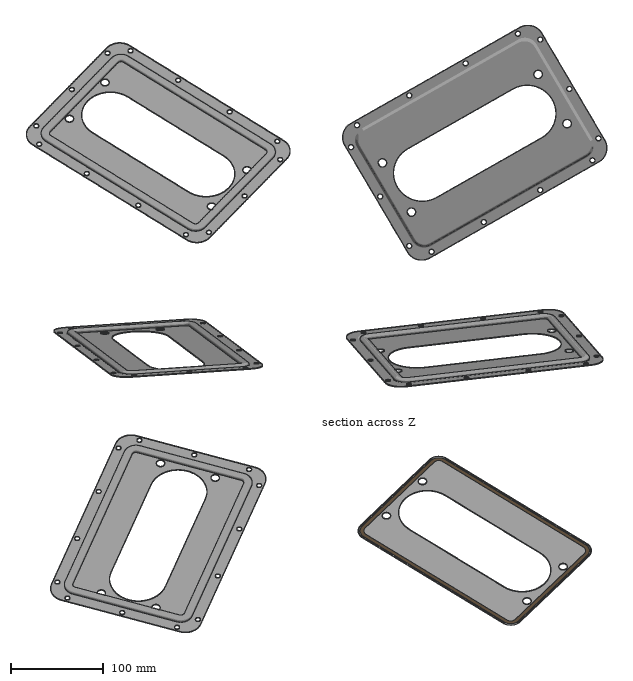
import cadquery as cq
import math

length = 245.0
width = 170.0
corner_radius = 17.5
round_center_inset = 25.7

sheet = 0.93
flange_top = 4.0
flange_bottom = flange_top - sheet
wall_angle = 45.0
outer_bend = 2.0
inner_bend = outer_bend - sheet

lower_wall_inset = 10.8
upper_wall_inset = lower_wall_inset + sheet * math.tan(math.radians(wall_angle / 2))

window_length = 192.0
window_width = 61.7

floor_hole_diameter = 9.0
floor_hole_x = 96.8
floor_hole_y = 31.0

rim_hole_diameter = 5.5
rim_hole_inset = 5.0
rim_hole_x = length / 2 - rim_hole_inset
rim_hole_y = width / 2 - rim_hole_inset
long_side_hole_x = (35.0, 100.0)
short_side_hole_y = 62.5

ring_top = 6.0
ring_width = 9.0
ring_inset = 12.5
oval_end_radius = 2.0


def rounded_block(inset, bottom, height, taper=0.0):
    """Block set in from the plate edge, with round corners; taper shrinks it along its height."""
    outline = cq.Sketch().rect(length - 2 * inset, width - 2 * inset)
    outline = outline.vertices().fillet(round_center_inset - inset)
    return cq.Workplane("XY").workplane(offset=bottom).placeSketch(outline).extrude(height, taper=taper)


def round_wall_edge(body, z, radius):
    """Round the edge loop at height z where the wall meets the flange."""
    half_x = length / 2 - lower_wall_inset / 2
    half_y = width / 2 - lower_wall_inset / 2
    low = (-half_x, -half_y, z - sheet / 2)
    high = (half_x, half_y, z + sheet / 2)
    return body.edges(cq.selectors.BoxSelector(low, high, boundingbox=True)).fillet(radius)


def make_sheet():
    flange = cq.Workplane("XY").workplane(offset=flange_bottom).rect(length, width).extrude(sheet)
    flange = flange.edges("|Z").fillet(corner_radius)

    pan = rounded_block(lower_wall_inset, flange_bottom, -flange_bottom, wall_angle)
    pan = pan.faces("<Z").edges().fillet(outer_bend)
    recess = rounded_block(upper_wall_inset, flange_top, sheet - flange_top, wall_angle)
    recess = recess.faces("<Z").edges().fillet(inner_bend)

    body = round_wall_edge(flange.union(pan), flange_bottom, inner_bend)
    return round_wall_edge(body.cut(recess), flange_top, outer_bend)


def hole_cutter(centers, diameter):
    return cq.Workplane("XY").pushPoints(centers).circle(diameter / 2).extrude(flange_top)


def make_tray():
    signs = (-1, 1)
    floor_holes = [(sx * floor_hole_x, sy * floor_hole_y) for sx in signs for sy in signs]
    long_side_holes = [
        (sx * x, sy * rim_hole_y) for x in long_side_hole_x for sx in signs for sy in signs
    ]
    short_side_holes = [(sx * rim_hole_x, sy * short_side_hole_y) for sx in signs for sy in (-1, 0, 1)]

    window = cq.Workplane("XY").slot2D(window_length, window_width).extrude(flange_top)
    tray = make_sheet().cut(window)
    tray = tray.cut(hole_cutter(floor_holes, floor_hole_diameter))
    return tray.cut(hole_cutter(long_side_holes + short_side_holes, rim_hole_diameter))


def oval_section(center_x, center_z, half_width, half_height):
    """Oval of four tangent arcs: flat ones above and below, tight ones at both ends."""
    end_offset = half_width - oval_end_radius
    squares = end_offset**2 + half_height**2 - oval_end_radius**2
    flat_radius = squares / (2 * (half_height - oval_end_radius))
    lean = math.asin(end_offset / (flat_radius - oval_end_radius))
    join_x = flat_radius * math.sin(lean)
    join_z = oval_end_radius * math.cos(lean)

    def point(x, z):
        return (center_x + x, center_z + z)

    return (
        cq.Workplane("XZ")
        .moveTo(*point(-join_x, join_z))
        .threePointArc(point(0, half_height), point(join_x, join_z))
        .threePointArc(point(half_width, 0), point(join_x, -join_z))
        .threePointArc(point(0, -half_height), point(-join_x, -join_z))
        .threePointArc(point(-half_width, 0), point(-join_x, join_z))
        .close()
    )


def make_ring():
    center_inset = ring_inset + ring_width / 2
    center_z = (ring_top + sheet) / 2
    section = oval_section(length / 2 - center_inset, center_z, ring_width / 2, ring_top - center_z)
    center_line = rounded_block(center_inset, center_z, sheet).faces("<Z").wires()
    return section.sweep(center_line, transition="right")


tray = make_tray()
ring = make_ring()

result = cq.Compound.makeCompound([tray.solids().val(), ring.solids().val()])